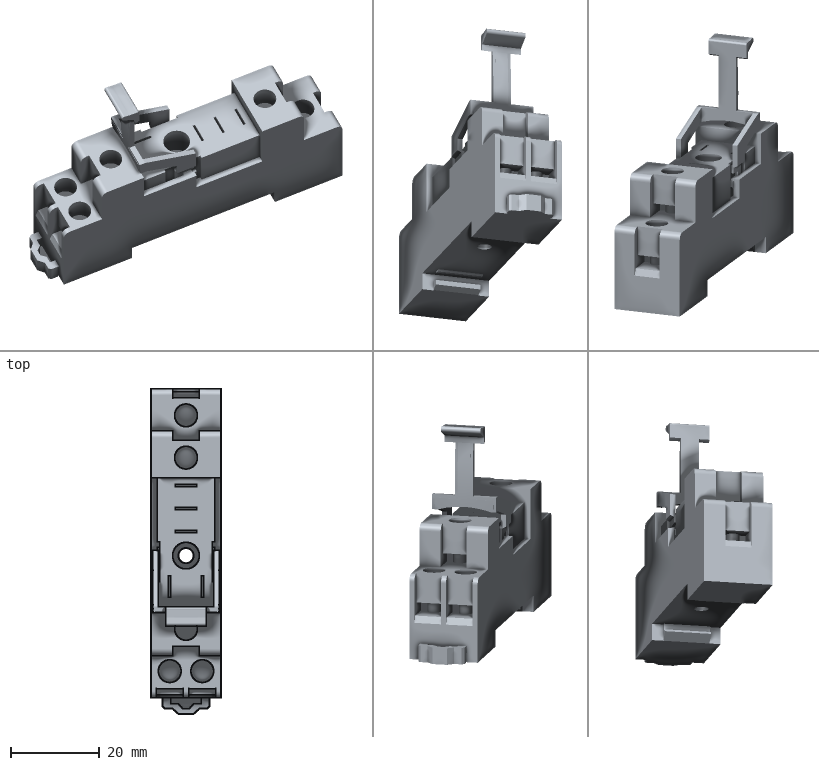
import cadquery as cq

WIDTH = 15.8
HALF_LENGTH = 34.8
UPPER_HALF = 25.3
SEAT_HALF = 14.8
LOWER_TOP = 19.4
UPPER_TOP = 29.0
SEAT_TOP = 25.9
CORNER_RADIUS = 1.5

SCREW_RADIUS = 2.6
SCREW_INSET = 6.0
SCREW_SPACING = 7.3
SINGLE_POCKET_WIDTH = 6.0
TWIN_POCKET_WIDTH = 6.15
POCKET_DEPTH = 2.05
ENTRY_HEIGHT = 2.7
LOWER_POCKET_FLOOR = 10.0
SCREW_DEPTH = 5.1
POST_RADIUS = 1.55
SILL_DEPTH = 0.65
SILL_DROP = 1.55

SEAT_WIDTH = 13.05
LOW_LEDGE = 17.5
HIGH_LEDGE = 21.9
LEDGE_STEP_Y = -1.6
PIVOT_BACK = 0.3
PIVOT_FRONT = -8.7
PIVOT_INNER_WIDTH = 11.7
BLADE_LENGTH = 4.8
BLADE_THICKNESS = 0.6
BLADE_DEPTH = 3.7
CROSS_BLADES_Y = (13.05, 7.85, 2.65)
SIDE_BLADE_X = 3.75
SIDE_BLADE_Y = -9.75
BORE_Y = -2.8
BORE_RADIUS = 1.7
COUNTERBORE_RADIUS = 3.0
COUNTERBORE_DEPTH = 7.3

RAIL_BACK = 17.95
RAIL_FRONT = -17.8
RAIL_HEIGHT = 3.8
HOOK_TOP = 2.2
HOOK_REACH = 1.8
PAD_BACK = 16.1
PAD_FRONT = 14.2
PAD_THICKNESS = 0.4
PAD_BEVEL = 0.5
CLIP_WIDTH = 10.6
CLIP_TIP = HALF_LENGTH - 73.3
SLIDE_PROUD = 0.65
LOOP_SHOULDER = 2.4
LOOP_CORNER = 0.5
LOOP_WALL = 1.1
CLIP_FLOOR = 0.7
RELIEF = 0.2
RELIEF_HEIGHT = 2.1

LEVER_WIDTH = 14.9
ARM_INNER = 6.2
ARM_FRONT = -6.1
ARM_BACK_TOP = 29.8
ARM_BEND_Z = 27.8
FOOT_FRONT = -6.3
FOOT_TOP = 25.0
FOOT_BOTTOM = 19.4
FOOT_NOTCH_Y = -4.25
TOE_BACK = -0.95
TOE_TOP = 21.5
BEVEL_BOTTOM = 24.55
PLATE_BACK = -14.3
WING_TOP = 33.8
WING_BOTTOM = 30.35
ARCH_TOP = 31.3
STEM_WIDTH = 4.2
RIM = 0.65
RAISE = 0.1
PLATE_TOP = 46.9
BOW = 0.5
BOW_Z = 37.4
HEAD_WIDTH = 9.15
HEAD_BOTTOM = 46.0
HEAD_FRONT = -15.25
HEAD_TIP = -18.7
LEVER_TOP = 50.3


def box(x_range, y_range, z_range):
    """Axis-aligned block between the given limits."""
    size = [high - low for low, high in (x_range, y_range, z_range)]
    corner = (x_range[0], y_range[0], z_range[0])
    return cq.Workplane("XY").box(*size, centered=False).translate(corner)


def side_profile(points, width):
    """Closed (y, z) outline extruded symmetrically about x = 0."""
    return cq.Workplane("YZ").polyline(points).close().extrude(width / 2, both=True)


def centred(width, x=0.0):
    return (x - width / 2, x + width / 2)


def both_sides(body):
    """The body together with its mirror image across x = 0."""
    return body.union(body.mirror("YZ"))


def housing_block():
    block = side_profile(
        [
            (HALF_LENGTH, 0),
            (HALF_LENGTH, LOWER_TOP),
            (UPPER_HALF, LOWER_TOP),
            (UPPER_HALF, UPPER_TOP),
            (SEAT_HALF, UPPER_TOP),
            (SEAT_HALF, SEAT_TOP),
            (-SEAT_HALF, SEAT_TOP),
            (-SEAT_HALF, UPPER_TOP),
            (-UPPER_HALF, UPPER_TOP),
            (-UPPER_HALF, LOWER_TOP),
            (-HALF_LENGTH, LOWER_TOP),
            (-HALF_LENGTH, 0),
            (RAIL_FRONT, 0),
            (RAIL_FRONT, RAIL_HEIGHT),
            (RAIL_BACK, RAIL_HEIGHT),
            (RAIL_BACK, 0),
        ],
        WIDTH,
    )
    for y, z in ((HALF_LENGTH, LOWER_TOP), (UPPER_HALF, UPPER_TOP)):
        for end in (-1, 1):
            corner = cq.selectors.BoxSelector(
                (-WIDTH, end * y - 0.1, z - 0.1), (WIDTH, end * y + 0.1, z + 0.1)
            )
            block = block.edges(corner).fillet(CORNER_RADIUS)
    return block


def terminal(x, face_y, top, floor, width):
    """Cutter for a terminal that opens forward: screw hole and wire pocket around its post."""
    outside = face_y - 0.7
    screw_y = face_y + SCREW_INSET
    across = centred(width, x)
    pocket = box(across, (outside, face_y + POCKET_DEPTH), (floor, top + 0.7))
    entry = box(across, (outside, screw_y), (floor, floor + ENTRY_HEIGHT))
    post = cq.Workplane("XY", origin=(x, screw_y, floor)).circle(POST_RADIUS).extrude(ENTRY_HEIGHT)
    screw = cq.Workplane("XY", origin=(x, screw_y, top)).circle(SCREW_RADIUS).extrude(-SCREW_DEPTH)
    return pocket.union(entry).cut(post).union(screw)


def lower_terminal(x, width):
    """Cutter for a terminal of the lower front step, with a bevelled sill."""
    floor = LOWER_POCKET_FLOOR
    sill = side_profile(
        [
            (-HALF_LENGTH, floor - SILL_DROP),
            (-HALF_LENGTH, floor),
            (-HALF_LENGTH + SILL_DEPTH, floor),
        ],
        width,
    )
    return terminal(x, -HALF_LENGTH, LOWER_TOP, floor, width).union(sill.translate((x, 0, 0)))


def cut_terminals(body):
    upper = terminal(0, -UPPER_HALF, UPPER_TOP, LOWER_TOP, SINGLE_POCKET_WIDTH)
    back_lower = lower_terminal(0, SINGLE_POCKET_WIDTH)
    body = body.cut(upper)
    body = body.cut(upper.mirror("XZ"))
    body = body.cut(back_lower.mirror("XZ"))
    for side in (-1, 1):
        body = body.cut(lower_terminal(side * SCREW_SPACING / 2, TWIN_POCKET_WIDTH))
    return body


def cut_relay_seat(body):
    beside = (SEAT_WIDTH / 2, WIDTH)
    low_ledge = box(beside, (LEDGE_STEP_Y, SEAT_HALF), (LOW_LEDGE, UPPER_TOP))
    high_ledge = box(beside, (-SEAT_HALF, LEDGE_STEP_Y), (HIGH_LEDGE, UPPER_TOP))
    pivot = box(
        (PIVOT_INNER_WIDTH / 2, SEAT_WIDTH / 2), (PIVOT_FRONT, PIVOT_BACK), (LOW_LEDGE, UPPER_TOP)
    )
    return body.cut(both_sides(low_ledge.union(high_ledge).union(pivot)))


def cut_seat_holes(body):
    blade_z = (SEAT_TOP - BLADE_DEPTH, SEAT_TOP)
    for y in CROSS_BLADES_Y:
        body = body.cut(box(centred(BLADE_LENGTH), centred(BLADE_THICKNESS, y), blade_z))
    for x in (-SIDE_BLADE_X, SIDE_BLADE_X):
        along = centred(BLADE_LENGTH, SIDE_BLADE_Y)
        body = body.cut(box(centred(BLADE_THICKNESS, x), along, blade_z))
    bore = cq.Workplane("XY", origin=(0, BORE_Y, 0)).circle(BORE_RADIUS).extrude(SEAT_TOP)
    counterbore = (
        cq.Workplane("XY", origin=(0, BORE_Y, SEAT_TOP))
        .circle(COUNTERBORE_RADIUS)
        .extrude(-COUNTERBORE_DEPTH)
    )
    return body.cut(bore).cut(counterbore)


def rail_hook():
    """Fixed hook on the back wall of the rail notch."""
    return side_profile(
        [
            (RAIL_BACK, 0),
            (RAIL_BACK, HOOK_TOP),
            (RAIL_BACK - HOOK_REACH, HOOK_TOP - 0.3),
            (RAIL_BACK - HOOK_REACH, 0.8),
            (RAIL_BACK - 0.3, 0),
        ],
        CLIP_WIDTH,
    )


def rail_pad():
    """Low pad under the notch ceiling that presses on the rail."""
    return side_profile(
        [
            (PAD_BACK, RAIL_HEIGHT),
            (PAD_BACK - PAD_BEVEL, RAIL_HEIGHT - PAD_THICKNESS),
            (PAD_FRONT + PAD_BEVEL, RAIL_HEIGHT - PAD_THICKNESS),
            (PAD_FRONT, RAIL_HEIGHT),
        ],
        CLIP_WIDTH,
    )


def make_housing():
    body = cut_seat_holes(cut_relay_seat(cut_terminals(housing_block())))
    body = body.union(rail_hook()).union(rail_pad())
    clip_slot = box(centred(CLIP_WIDTH), (-HALF_LENGTH, RAIL_FRONT), (0, RAIL_HEIGHT))
    return body.cut(clip_slot)


def mirrored_plan(half_outline, bottom, top):
    """Plan outline given on its +X half, completed by mirroring, between two heights."""
    other_half = [(-x, y) for x, y in reversed(half_outline)]
    plan = cq.Workplane("XY", origin=(0, 0, bottom)).polyline(half_outline + other_half)
    return plan.close().extrude(top - bottom)


def make_clip():
    half = CLIP_WIDTH / 2
    slide = side_profile(
        [
            (-HALF_LENGTH, 0),
            (-HALF_LENGTH, RAIL_HEIGHT),
            (RAIL_FRONT + SLIDE_PROUD, RAIL_HEIGHT),
            (RAIL_FRONT + SLIDE_PROUD, HOOK_TOP),
            (RAIL_FRONT + HOOK_REACH, HOOK_TOP),
            (RAIL_FRONT + HOOK_REACH, HOOK_TOP - 0.45),
            (RAIL_FRONT, 0),
        ],
        CLIP_WIDTH,
    )
    shoulder_y = -HALF_LENGTH - LOOP_SHOULDER
    inner_y = shoulder_y + LOOP_WALL
    loop = mirrored_plan(
        [
            (half, -HALF_LENGTH),
            (half, shoulder_y + LOOP_CORNER),
            (half - LOOP_CORNER, shoulder_y),
            (3.1, shoulder_y),
            (1.7, CLIP_TIP),
        ],
        0,
        RAIL_HEIGHT,
    )
    finger_pocket = mirrored_plan(
        [(3.45, -HALF_LENGTH), (3.45, inner_y), (1.75, inner_y), (0.7, CLIP_TIP + 1.25)],
        CLIP_FLOOR,
        RAIL_HEIGHT,
    )
    relief = box(
        (half - RELIEF, half), (-HALF_LENGTH - RELIEF, -HALF_LENGTH), (0, RELIEF_HEIGHT)
    )
    return slide.union(loop).cut(finger_pocket).cut(both_sides(relief))


def lever_arm():
    """Sloping arm on the +X side, bevelled below toward the foot."""
    outer = LEVER_WIDTH / 2
    arm = (
        cq.Workplane("YZ", origin=(ARM_INNER, 0, 0))
        .polyline(
            [
                (LEDGE_STEP_Y, BEVEL_BOTTOM),
                (LEDGE_STEP_Y, ARM_BACK_TOP),
                (PLATE_BACK, WING_TOP),
                (PLATE_BACK, WING_BOTTOM),
                (-13.85, WING_BOTTOM),
                (ARM_FRONT, ARM_BEND_Z),
                (ARM_FRONT, BEVEL_BOTTOM),
            ]
        )
        .close()
        .extrude(outer - ARM_INNER)
    )
    bevel = (
        cq.Workplane("XZ")
        .polyline([(outer, FOOT_TOP), (outer, BEVEL_BOTTOM), (SEAT_WIDTH / 2, BEVEL_BOTTOM)])
        .close()
        .extrude(SEAT_HALF)
    )
    return arm.cut(bevel)


def lever_foot():
    """Flat foot on the +X side, notched at the back, standing in its pivot slot."""
    inner = PIVOT_INNER_WIDTH / 2
    return (
        cq.Workplane("YZ", origin=(inner, 0, 0))
        .polyline(
            [
                (FOOT_FRONT, FOOT_BOTTOM),
                (FOOT_FRONT, BEVEL_BOTTOM),
                (ARM_FRONT, FOOT_TOP),
                (LEDGE_STEP_Y, FOOT_TOP),
                (LEDGE_STEP_Y, 23.2),
                (FOOT_NOTCH_Y, 22.95),
                (FOOT_NOTCH_Y, HIGH_LEDGE),
                (-2.05, HIGH_LEDGE),
                (LEDGE_STEP_Y, TOE_TOP),
                (TOE_BACK, TOE_TOP),
                (TOE_BACK, FOOT_BOTTOM + 0.7),
                (LEDGE_STEP_Y, FOOT_BOTTOM),
            ]
        )
        .close()
        .extrude(SEAT_WIDTH / 2 - inner)
    )


def tee_outline(wing_half, wing_top, stem_half):
    """Plate with an arched wing below and a stem above, as deep as the whole lever."""
    return (
        cq.Workplane("XZ")
        .moveTo(-wing_half, WING_BOTTOM)
        .lineTo(-wing_half, wing_top)
        .lineTo(-stem_half, wing_top)
        .lineTo(-stem_half, PLATE_TOP)
        .lineTo(stem_half, PLATE_TOP)
        .lineTo(stem_half, wing_top)
        .lineTo(wing_half, wing_top)
        .lineTo(wing_half, WING_BOTTOM)
        .lineTo(ARM_INNER, WING_BOTTOM)
        .threePointArc((0, ARCH_TOP), (-ARM_INNER, WING_BOTTOM))
        .close()
        .extrude(-HEAD_TIP)
    )


def bowed_plate(raised):
    """Slab with a flat back and a slightly bowed front, set forward by the given amount."""
    front = HEAD_FRONT + RAISE - raised
    return (
        cq.Workplane("YZ")
        .moveTo(PLATE_BACK, WING_BOTTOM)
        .lineTo(PLATE_BACK, PLATE_TOP)
        .lineTo(front, PLATE_TOP)
        .lineTo(front, HEAD_BOTTOM)
        .threePointArc((front - BOW, BOW_Z), (front - 0.2, WING_BOTTOM))
        .close()
        .extrude(LEVER_WIDTH, both=True)
    )


def lever_plate():
    wing_half = LEVER_WIDTH / 2
    stem_half = STEM_WIDTH / 2
    plate = tee_outline(wing_half, WING_TOP, stem_half).intersect(bowed_plate(0))
    raised = tee_outline(wing_half - RIM, WING_TOP - RIM, stem_half - RIM)
    return plate.union(raised.intersect(bowed_plate(RAISE)))


def lever_head():
    """Thumb rest across the top of the stem, with a rounded nose."""
    return (
        cq.Workplane("YZ")
        .moveTo(PLATE_BACK, HEAD_BOTTOM + 0.5)
        .lineTo(PLATE_BACK, 49.55)
        .threePointArc((-14.45, 49.85), (-14.95, 50.0))
        .lineTo(-16.7, 50.1)
        .lineTo(-18.0, LEVER_TOP)
        .threePointArc((HEAD_TIP, 49.6), (-18.25, 49.0))
        .lineTo(HEAD_FRONT, 47.5)
        .lineTo(HEAD_FRONT, HEAD_BOTTOM)
        .close()
        .extrude(HEAD_WIDTH / 2, both=True)
    )


def make_lever():
    sides = both_sides(lever_arm().union(lever_foot()))
    return lever_plate().union(lever_head()).union(sides)


housing = make_housing()
clip = make_clip()
lever = make_lever()
result = cq.Compound.makeCompound([housing.val(), clip.val(), lever.val()])